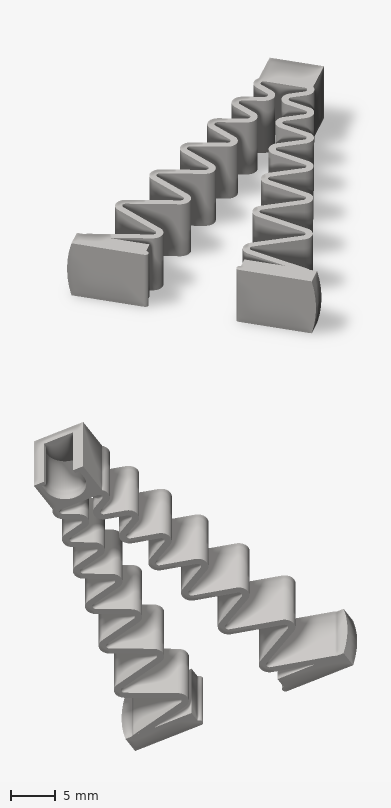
import cadquery as cq
import math

LENGTH = 42.6
HEIGHT = 7.0
WIDTH = 29.1

STRAND_WIDTH = 0.8
HALF_STRAND = STRAND_WIDTH / 2
BEND_RADIUS = 0.8
STEEP_ANGLE = math.radians(30)
SHALLOW_ANGLE = math.radians(15)
TOP_CORNER_X = -5.33
TOP_END_X = 1.35
FIRST_STEEP_RUN = 6.7
FIRST_SHALLOW_RUN = 6.35
SECOND_STEEP_RUN = 6.3
RUN_GROWTH = 1.12
ZIGZAGS = 5

BLOCK_WIDTH = 6.35
BLOCK_DEPTH = 4.3
RECESS_DEPTH = 0.3
SLOT_WIDTH = 4.8
SLOT_CENTRE_FROM_BACK = 1.5
NECK_WIDTH = 3.75
NECK_DEPTH = 0.5
ROOF_THICKNESS = 1.02

PAD_DEPTH = 2.2
PAD_INNER_X = -5.55
PAD_BULGE = 0.5

HALF_WIDTH = WIDTH / 2
SLOT_RADIUS = SLOT_WIDTH / 2
BLOCK_FRONT_Y = LENGTH - BLOCK_DEPTH
TOP_STRAND_Y = BLOCK_FRONT_Y + RECESS_DEPTH - HALF_STRAND
FOOT_STRAND_Y = HALF_STRAND


def step(point, length, angle):
    """The point reached from `point` by a straight run in the given direction."""
    x, y = point
    return (x + length * math.cos(angle), y + length * math.sin(angle))


def zigzag_corners():
    """Sharp corners of the left centre line, from its end in the block to its end in the pad."""
    down_right = -STEEP_ANGLE
    down_left = math.pi + SHALLOW_ANGLE

    corners = [(TOP_END_X, TOP_STRAND_Y), (TOP_CORNER_X, TOP_STRAND_Y)]
    corners.append(step(corners[-1], FIRST_STEEP_RUN, down_right))
    for i in range(ZIGZAGS):
        growth = RUN_GROWTH**i
        corners.append(step(corners[-1], FIRST_SHALLOW_RUN * growth, down_left))
        corners.append(step(corners[-1], SECOND_STEEP_RUN * growth, down_right))

    last_run = (corners[-1][1] - FOOT_STRAND_Y) / math.sin(SHALLOW_ANGLE)
    corners.append(step(corners[-1], last_run, down_left))
    corners.append((PAD_INNER_X, FOOT_STRAND_Y))
    return corners


def build_strand():
    """The whole left strand, with rounded bends and round ends."""
    path = cq.Workplane("XY").polyline(zigzag_corners()).wire().val()
    bends = path.Vertices()[1:-1]
    rounded = path.fillet(BEND_RADIUS, bends)
    return cq.Workplane("XY").newObject([rounded]).toPending().offset2D(HALF_STRAND).extrude(HEIGHT)


def build_pad_zone():
    """The space in front of the pad's rear face, where the strand belongs to the pad."""
    zone = cq.Workplane("XY").box(HALF_WIDTH, PAD_DEPTH, HEIGHT, centered=False)
    return zone.translate((-HALF_WIDTH, 0, 0))


def build_pad(strand):
    """Left foot pad with a curved outer side. The foot of the strand is one with it."""
    crest = (-HALF_WIDTH, HEIGHT / 2)
    edge_x = -HALF_WIDTH + PAD_BULGE
    radius = ((HEIGHT / 2) ** 2 + PAD_BULGE**2) / (2 * PAD_BULGE)
    plate = (
        cq.Workplane("XZ")
        .moveTo(PAD_INNER_X, 0)
        .lineTo(edge_x, 0)
        .radiusArc(crest, radius)
        .radiusArc((edge_x, HEIGHT), radius)
        .lineTo(PAD_INNER_X, HEIGHT)
        .close()
        .extrude(-PAD_DEPTH, clean=False)
    )
    foot = strand.intersect(build_pad_zone())
    return plate.union(foot, clean=False)


def build_block(springs):
    """Block with a mounting slot open to the back and the bottom, and a recess for the springs."""
    block = cq.Workplane("XY").box(BLOCK_WIDTH, BLOCK_DEPTH, HEIGHT, centered=(True, False, False))
    block = block.translate((0, BLOCK_FRONT_Y, 0))
    roof = block.intersect(block.translate((0, 0, HEIGHT - ROOF_THICKNESS)))

    centre_y = LENGTH - SLOT_CENTRE_FROM_BACK
    shoulder_y = LENGTH - NECK_DEPTH
    slot = (
        cq.Workplane("XY")
        .moveTo(-NECK_WIDTH / 2, LENGTH)
        .lineTo(-NECK_WIDTH / 2, shoulder_y)
        .lineTo(-SLOT_RADIUS, shoulder_y)
        .lineTo(-SLOT_RADIUS, centre_y)
        .threePointArc((0, centre_y - SLOT_RADIUS), (SLOT_RADIUS, centre_y))
        .lineTo(SLOT_RADIUS, shoulder_y)
        .lineTo(NECK_WIDTH / 2, shoulder_y)
        .lineTo(NECK_WIDTH / 2, LENGTH)
        .close()
        .extrude(HEIGHT)
    )
    block = block.cut(slot).union(roof, clean=False)
    for spring in springs:
        block = block.cut(spring, clean=False)
    return block


def build_spring(strand):
    """The free part of the strand, which ends on the rear face of its pad."""
    return strand.cut(build_pad_zone())


def with_mirror_image(left_body):
    """A left body and its copy on the other side of the YZ plane."""
    return [left_body, left_body.mirror("YZ")]


left_strand = build_strand()
pads = with_mirror_image(build_pad(left_strand))

left_spring, full_right_spring = with_mirror_image(build_spring(left_strand))
springs = [left_spring, full_right_spring.cut(left_spring)]

block = build_block(springs)

result = cq.Compound.makeCompound([body.val() for body in [*springs, *pads, block]])